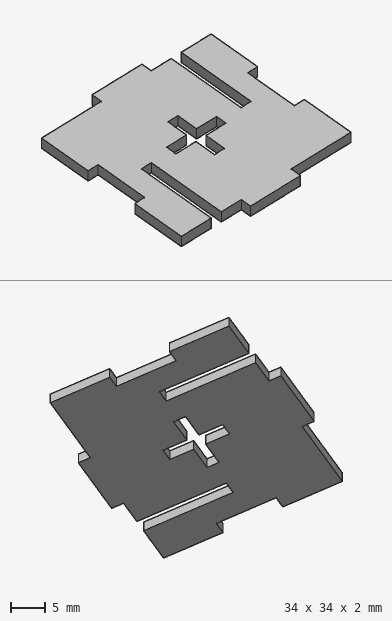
import cadquery as cq

overall = 34.0
thickness = overall / 17
joint_length = 5 * thickness
body_width = overall - 2 * thickness
slot_length = body_width / 2
slot_edge_strip = 3 * thickness
slot_center_y = overall / 2 - slot_edge_strip - thickness / 2


def block(length, width, x=0, y=0):
    """Full-thickness block centred at (x, y), resting on Z = 0."""
    return cq.Workplane("XY").center(x, y).rect(length, width).extrude(thickness)


plate = block(body_width, overall)
tabs = block(overall, joint_length)
result = plate.union(tabs)

for side in (1, -1):
    notch = block(joint_length, thickness, y=side * (overall - thickness) / 2)
    slot = block(slot_length, thickness, -side * slot_length / 2, side * slot_center_y)
    result = result.cut(notch).cut(slot)

cross = block(joint_length, thickness).union(block(thickness, joint_length))
result = result.cut(cross)